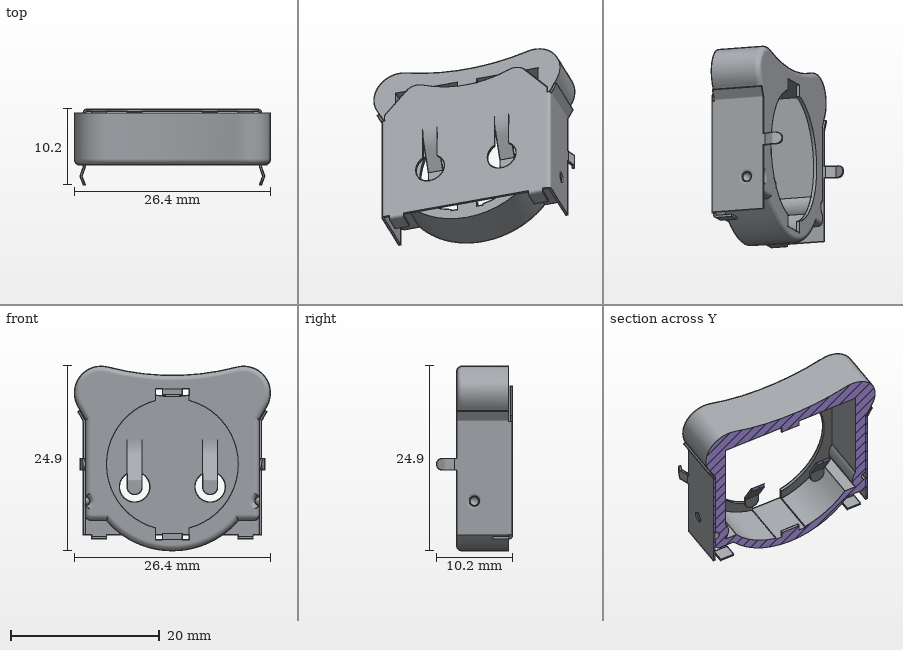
import cadquery as cq
import math


HOUSING_WIDTH = 26.4
HOUSING_DEPTH = 7.0
HALF_WIDTH = 11.7
EDGE_RADIUS = 0.75
LOBE_RADIUS = 3.62
LOBE_X = HOUSING_WIDTH / 2 - LOBE_RADIUS
LOBE_Z = LOBE_X
LOBE_FLANK_ANGLE = math.radians(30)
DISH_BOTTOM_Z = 11.96
BELLY_RADIUS = 11.66
SHOULDER_Z = -7.56

LIP_THICKNESS = 0.45
COIN_WINDOW_RADIUS = 8.87
POCKET_FLOOR_RADIUS = 11.1
POCKET_FLOOR_CENTER_Z = 0.92
POCKET_HALF_WIDTH = 10.1
POCKET_LEDGE_Z = -6.29
NOTCH_HALF_WIDTH = 2.26
NOTCH_Z = 10.14
CATCH_HALF_WIDTH = 1.34
CATCH_HEIGHT = 0.8
CATCH_DEPTH = 0.6

DETENT_Z = -4.97
GROOVE_RADIUS = 0.6
GROOVE_WALL = 1.5
GROOVE_BOSS_RADIUS = GROOVE_RADIUS + GROOVE_WALL

SHEET = 0.3
BACK_GAP = 0.2
BEND_RADIUS = 0.5
KINK_RADIUS = 0.3
CLIP_HALF_WIDTH = HALF_WIDTH + SHEET
BACK_FRONT_Y = HOUSING_DEPTH + BACK_GAP
BACK_Y = BACK_FRONT_Y + SHEET
FLAT_HALF_WIDTH = CLIP_HALF_WIDTH - BEND_RADIUS
CLIP_BOTTOM_Z = -9.5
SIDE_TOP_Z = 5.75
FLARE_ANGLE = math.radians(30)
FLARE_BEND_Z = SIDE_TOP_Z + KINK_RADIUS * math.tan(FLARE_ANGLE / 2)
FLARE_LENGTH = 1.46

BACK_DISH_RADIUS = 16.0
BACK_DISH_Z = 9.12
BACK_LOBE_RADIUS = 2.1
BACK_TOP_Z = 10.5
BACK_SLOPE_ANGLE = math.radians(47)

TINE_X = 5.08
TINE_HALF_WIDTH = 1.02
TINE_ROOT_Z = 3.27
TINE_TIP_Z = -4.09
TINE_KINK_Z = -2.15
TINE_CURVE_RADIUS = 5.0
TINE_ANGLE = math.radians(30)
TINE_HOLE_RADIUS = 2.03
TINE_HOLE_Z = -3.05

LEG_HALF_WIDTH = 0.785
LEG_STRAIGHT = 0.25
LEG_KINK_Y = -1.53
LEG_TIP_Y = -2.7
LEG_BULGE = 0.45

FOOT_X = 9.86
FOOT_HALF_WIDTH = 1.02
FOOT_BOTTOM_Z = -10.05
FOOT_FRONT_Y = 4.92
FOOT_BEND_RADIUS = 0.4

DIMPLE_Y = 2.4
DOME_RADIUS = 0.58
DIMPLE_RIM_RADIUS = 1.05
CUP_RADIUS = 0.69
RIM_DROP = 0.1
CUP_DROP = 0.45

SIDES = (-1, 1)


def prism_y(sketch, y_start, y_end):
    """Extrude a closed XZ outline from y_start to y_end."""
    return sketch.extrude(y_start - y_end).translate((0, y_start, 0))


def block(x_range, y_range, z_range):
    """Make a box from its limits on each axis."""
    low, high = zip(x_range, y_range, z_range)
    size = [b - a for a, b in zip(low, high)]
    return cq.Workplane("XY").box(*size, centered=False).translate(low)


def cylinder_y(radius, x, z, y_start, y_end):
    """Make a cylinder along Y."""
    return prism_y(cq.Workplane("XZ").center(x, z).circle(radius), y_start, y_end)


def on_circle(center, radius, angle):
    """Give the point at an angle from the first axis on a circle."""
    return (center[0] + radius * math.cos(angle), center[1] + radius * math.sin(angle))


def round_corner(body, direction, point, radius):
    """Round the edge that runs in the given direction through a point."""
    edge = body.edges(direction).edges(cq.selectors.NearestToPointSelector(point))
    return edge.fillet(radius)


def mirrored(point):
    return (-point[0], point[1])


def housing_outline():
    lobe = (LOBE_X, LOBE_Z)
    rise = DISH_BOTTOM_Z - LOBE_Z
    dish_radius = (LOBE_X**2 + rise**2 - LOBE_RADIUS**2) / (2 * (LOBE_RADIUS - rise))
    dish_angle = math.asin(LOBE_X / (dish_radius + LOBE_RADIUS))
    dish_end = on_circle(lobe, LOBE_RADIUS, math.pi / 2 + dish_angle)
    lobe_mid = (LOBE_X + LOBE_RADIUS, LOBE_Z)
    flank_start = on_circle(lobe, LOBE_RADIUS, -LOBE_FLANK_ANGLE)
    flank_drop = (flank_start[0] - HALF_WIDTH) / math.tan(LOBE_FLANK_ANGLE)
    flank_end = (HALF_WIDTH, flank_start[1] - flank_drop)
    corner = (HALF_WIDTH, SHOULDER_Z)
    belly_start = (math.sqrt(BELLY_RADIUS**2 - SHOULDER_Z**2), SHOULDER_Z)
    return (
        cq.Workplane("XZ")
        .moveTo(*mirrored(dish_end))
        .threePointArc((0, DISH_BOTTOM_Z), dish_end)
        .threePointArc(lobe_mid, flank_start)
        .lineTo(*flank_end)
        .lineTo(*corner)
        .lineTo(*belly_start)
        .threePointArc((0, -BELLY_RADIUS), mirrored(belly_start))
        .lineTo(*mirrored(corner))
        .lineTo(*mirrored(flank_end))
        .lineTo(*mirrored(flank_start))
        .threePointArc(mirrored(lobe_mid), mirrored(dish_end))
        .close()
    )


def coin_pocket():
    """Cavity behind the lip, open at the back, with bosses left around the detent grooves."""
    back_y = HOUSING_DEPTH
    x_range = (-POCKET_HALF_WIDTH, POCKET_HALF_WIDTH)
    y_range = (LIP_THICKNESS, back_y)
    curved_floor = cylinder_y(POCKET_FLOOR_RADIUS, 0, POCKET_FLOOR_CENTER_Z, *y_range)
    curved_floor = curved_floor.intersect(block(x_range, y_range, (-NOTCH_Z, POCKET_LEDGE_Z)))
    pocket = block(x_range, y_range, (POCKET_LEDGE_Z, NOTCH_Z)).union(curved_floor)
    for side in SIDES:
        pocket = pocket.cut(cylinder_y(GROOVE_BOSS_RADIUS, side * HALF_WIDTH, DETENT_Z, 0, back_y))
    return pocket


def make_housing():
    body = prism_y(housing_outline(), 0, HOUSING_DEPTH)
    for side in SIDES:
        body = round_corner(body, "|Y", (side * HALF_WIDTH, HOUSING_DEPTH / 2, SHOULDER_Z), EDGE_RADIUS)
        body = body.cut(cylinder_y(GROOVE_RADIUS, side * HALF_WIDTH, DETENT_Z, 0, HOUSING_DEPTH))
    body = body.faces("<Y").edges().fillet(EDGE_RADIUS)

    body = body.cut(coin_pocket())
    body = body.cut(cylinder_y(COIN_WINDOW_RADIUS, 0, 0, 0, HOUSING_DEPTH))
    notch_x = (-NOTCH_HALF_WIDTH, NOTCH_HALF_WIDTH)
    notch_y = (0, HOUSING_DEPTH)
    body = body.cut(block(notch_x, notch_y, (-NOTCH_Z, NOTCH_Z)))

    catch_x = (-CATCH_HALF_WIDTH, CATCH_HALF_WIDTH)
    catch_y = (HOUSING_DEPTH - CATCH_DEPTH, HOUSING_DEPTH)
    body = body.union(block(catch_x, catch_y, (NOTCH_Z - CATCH_HEIGHT, NOTCH_Z)))
    return body.union(block(catch_x, catch_y, (-NOTCH_Z, CATCH_HEIGHT - NOTCH_Z)))


def back_outline():
    lobe_z = BACK_TOP_Z - BACK_LOBE_RADIUS
    dish_z = BACK_DISH_Z + BACK_DISH_RADIUS
    reach = BACK_DISH_RADIUS + BACK_LOBE_RADIUS
    lobe = (math.sqrt(reach**2 - (dish_z - lobe_z) ** 2), lobe_z)
    dish_angle = math.asin(lobe[0] / reach)
    dish_end = on_circle(lobe, BACK_LOBE_RADIUS, math.pi / 2 + dish_angle)
    lobe_top = (lobe[0], BACK_TOP_Z)
    slope_start = on_circle(lobe, BACK_LOBE_RADIUS, math.pi / 2 - BACK_SLOPE_ANGLE)
    slope_drop = (FLAT_HALF_WIDTH - slope_start[0]) * math.tan(BACK_SLOPE_ANGLE)
    slope_end = (FLAT_HALF_WIDTH, slope_start[1] - slope_drop)
    return (
        cq.Workplane("XZ")
        .moveTo(*mirrored(dish_end))
        .threePointArc((0, BACK_DISH_Z), dish_end)
        .threePointArc(lobe_top, slope_start)
        .lineTo(*slope_end)
        .lineTo(FLAT_HALF_WIDTH, CLIP_BOTTOM_Z)
        .lineTo(-FLAT_HALF_WIDTH, CLIP_BOTTOM_Z)
        .lineTo(*mirrored(slope_end))
        .lineTo(*mirrored(slope_start))
        .threePointArc(mirrored(lobe_top), mirrored(dish_end))
        .close()
    )


def tine_outline(x):
    """Round-ended outline of one tine, which is also the slot it is cut from."""
    round_z = TINE_TIP_Z + TINE_HALF_WIDTH
    return (
        cq.Workplane("XZ")
        .moveTo(x - TINE_HALF_WIDTH, TINE_ROOT_Z)
        .lineTo(x + TINE_HALF_WIDTH, TINE_ROOT_Z)
        .lineTo(x + TINE_HALF_WIDTH, round_z)
        .threePointArc((x, TINE_TIP_Z), (x - TINE_HALF_WIDTH, round_z))
        .close()
    )


def make_tine(x):
    """Contact tine that curves forward from the back plate and ends in an upright tip."""
    center = (BACK_FRONT_Y - TINE_CURVE_RADIUS, TINE_ROOT_Z)
    back_radius = TINE_CURVE_RADIUS + SHEET
    front_end = on_circle(center, TINE_CURVE_RADIUS, -TINE_ANGLE)
    back_end = on_circle(center, back_radius, -TINE_ANGLE)
    kink_y = front_end[0] - (front_end[1] - TINE_KINK_Z) * math.tan(TINE_ANGLE)
    back_kink_z = TINE_KINK_Z - SHEET * math.tan(TINE_ANGLE / 2)
    profile = (
        cq.Workplane("YZ")
        .moveTo(*on_circle(center, TINE_CURVE_RADIUS, 0))
        .threePointArc(on_circle(center, TINE_CURVE_RADIUS, -TINE_ANGLE / 2), front_end)
        .lineTo(kink_y, TINE_KINK_Z)
        .lineTo(kink_y, TINE_TIP_Z)
        .lineTo(kink_y + SHEET, TINE_TIP_Z)
        .lineTo(kink_y + SHEET, back_kink_z)
        .lineTo(*back_end)
        .threePointArc(on_circle(center, back_radius, -TINE_ANGLE / 2), on_circle(center, back_radius, 0))
        .close()
    )
    strip = profile.extrude(TINE_HALF_WIDTH, both=True).translate((x, 0, 0))
    strip = round_corner(strip, "|X", (x, kink_y, TINE_KINK_Z), KINK_RADIUS)
    return strip.intersect(prism_y(tine_outline(x), 0, BACK_Y))


def make_side_wall():
    """Right side wall with its bend into the back plate."""
    bend_y = BACK_Y - BEND_RADIUS
    bend_center = (FLAT_HALF_WIDTH, bend_y)
    inner_radius = BEND_RADIUS - SHEET
    profile = (
        cq.Workplane("XY")
        .moveTo(CLIP_HALF_WIDTH, 0)
        .lineTo(CLIP_HALF_WIDTH, bend_y)
        .threePointArc(on_circle(bend_center, BEND_RADIUS, math.pi / 4), (FLAT_HALF_WIDTH, BACK_Y))
        .lineTo(FLAT_HALF_WIDTH, BACK_FRONT_Y)
        .threePointArc(on_circle(bend_center, inner_radius, math.pi / 4), (HALF_WIDTH, bend_y))
        .lineTo(HALF_WIDTH, 0)
        .close()
    )
    return profile.extrude(SIDE_TOP_Z - CLIP_BOTTOM_Z).translate((0, 0, CLIP_BOTTOM_Z))


def make_flare():
    """Lead-in along the top of the right side wall, leaning outward."""
    outer_bend = (CLIP_HALF_WIDTH, FLARE_BEND_Z)
    inner_bend = (HALF_WIDTH, FLARE_BEND_Z + SHEET * math.tan(FLARE_ANGLE / 2))
    outer_tip = on_circle(outer_bend, FLARE_LENGTH, math.pi / 2 - FLARE_ANGLE)
    inner_tip = on_circle(outer_tip, SHEET, math.pi - FLARE_ANGLE)
    outline = [
        (HALF_WIDTH, CLIP_BOTTOM_Z),
        inner_bend,
        inner_tip,
        outer_tip,
        outer_bend,
        (CLIP_HALF_WIDTH, CLIP_BOTTOM_Z),
    ]
    flare = prism_y(cq.Workplane("XZ").polyline(outline).close(), 0, HOUSING_DEPTH)
    flare = round_corner(flare, "|Y", (outer_bend[0], HOUSING_DEPTH / 2, outer_bend[1]), KINK_RADIUS)
    inner_point = (inner_bend[0], HOUSING_DEPTH / 2, inner_bend[1])
    return round_corner(flare, "|Y", inner_point, KINK_RADIUS + SHEET)


def make_leg():
    """Right solder leg, bulging outward, with a rounded end."""
    outer_face = [
        (CLIP_HALF_WIDTH, LEG_TIP_Y),
        (CLIP_HALF_WIDTH + LEG_BULGE, LEG_KINK_Y),
        (CLIP_HALF_WIDTH, -LEG_STRAIGHT),
        (CLIP_HALF_WIDTH, 0),
    ]
    inner_face = [(x - SHEET, y) for x, y in reversed(outer_face)]
    outline = cq.Workplane("XY").polyline(outer_face + inner_face).close()
    strip = outline.extrude(LEG_HALF_WIDTH, both=True)
    strip = round_corner(strip, "|Z", (CLIP_HALF_WIDTH + LEG_BULGE, LEG_KINK_Y, 0), KINK_RADIUS)
    round_y = LEG_TIP_Y + LEG_HALF_WIDTH
    face = (
        cq.Workplane("YZ")
        .moveTo(0, LEG_HALF_WIDTH)
        .lineTo(round_y, LEG_HALF_WIDTH)
        .threePointArc((LEG_TIP_Y, 0), (round_y, -LEG_HALF_WIDTH))
        .lineTo(0, -LEG_HALF_WIDTH)
        .close()
        .extrude(CLIP_HALF_WIDTH + LEG_BULGE)
    )
    return strip.intersect(face)


def make_foot():
    """Right foot, bent forward from the bottom of the back plate."""
    bend_z = FOOT_BOTTOM_Z + FOOT_BEND_RADIUS
    bend_center = (BACK_Y - FOOT_BEND_RADIUS, bend_z)
    inner_radius = FOOT_BEND_RADIUS - SHEET
    profile = (
        cq.Workplane("YZ")
        .moveTo(BACK_Y, CLIP_BOTTOM_Z)
        .lineTo(BACK_Y, bend_z)
        .threePointArc(
            on_circle(bend_center, FOOT_BEND_RADIUS, -math.pi / 4), (bend_center[0], FOOT_BOTTOM_Z)
        )
        .lineTo(FOOT_FRONT_Y, FOOT_BOTTOM_Z)
        .lineTo(FOOT_FRONT_Y, FOOT_BOTTOM_Z + SHEET)
        .lineTo(bend_center[0], FOOT_BOTTOM_Z + SHEET)
        .threePointArc(on_circle(bend_center, inner_radius, -math.pi / 4), (BACK_FRONT_Y, bend_z))
        .lineTo(BACK_FRONT_Y, CLIP_BOTTOM_Z)
        .close()
    )
    return profile.extrude(FOOT_HALF_WIDTH, both=True).translate((FOOT_X, 0, 0))


def make_dome():
    """Detent dome on the inner face of the right side wall, reaching into the housing groove."""
    base = (HALF_WIDTH, 0)
    profile = (
        cq.Workplane("XY")
        .moveTo(*base)
        .lineTo(HALF_WIDTH, DOME_RADIUS)
        .threePointArc(on_circle(base, DOME_RADIUS, 3 * math.pi / 4), (HALF_WIDTH - DOME_RADIUS, 0))
        .close()
    )
    return profile.revolve(360, (0, 0, 0), (1, 0, 0)).translate((0, DIMPLE_Y, DETENT_Z))


def make_cup():
    """Dished hollow behind the dome, with a softened rim."""
    face_x = CLIP_HALF_WIDTH
    rim_width = DIMPLE_RIM_RADIUS - CUP_RADIUS
    rim_radius = (rim_width**2 + RIM_DROP**2) / (2 * RIM_DROP)
    rim_angle = math.asin(rim_width / rim_radius) / 2
    rim_mid = (
        face_x - rim_radius * (1 - math.cos(rim_angle)),
        DIMPLE_RIM_RADIUS - rim_radius * math.sin(rim_angle),
    )
    cup_sag = CUP_DROP - RIM_DROP
    cup_curve = (CUP_RADIUS**2 + cup_sag**2) / (2 * cup_sag)
    cup_mid_r = CUP_RADIUS / 2
    cup_mid_x = face_x - CUP_DROP + cup_curve - math.sqrt(cup_curve**2 - cup_mid_r**2)
    profile = (
        cq.Workplane("XY")
        .moveTo(face_x, 0)
        .lineTo(face_x, DIMPLE_RIM_RADIUS)
        .threePointArc(rim_mid, (face_x - RIM_DROP, CUP_RADIUS))
        .threePointArc((cup_mid_x, cup_mid_r), (face_x - CUP_DROP, 0))
        .close()
    )
    return profile.revolve(360, (0, 0, 0), (1, 0, 0)).translate((0, DIMPLE_Y, DETENT_Z))


def make_clip():
    back = prism_y(back_outline(), BACK_FRONT_Y, BACK_Y)
    for side in SIDES:
        x = side * TINE_X
        back = back.cut(prism_y(tine_outline(x), BACK_FRONT_Y, BACK_Y))
        back = back.cut(cylinder_y(TINE_HOLE_RADIUS, x, TINE_HOLE_Z, BACK_FRONT_Y, BACK_Y))
        back = back.union(make_tine(x))

    wing = make_side_wall().union(make_flare()).union(make_leg()).union(make_dome()).cut(make_cup())
    for right_part in (wing, make_foot()):
        back = back.union(right_part).union(right_part.mirror("YZ"))
    return back


housing = make_housing()
clip = make_clip()
result = cq.Compound.makeCompound([housing.val(), clip.val()])